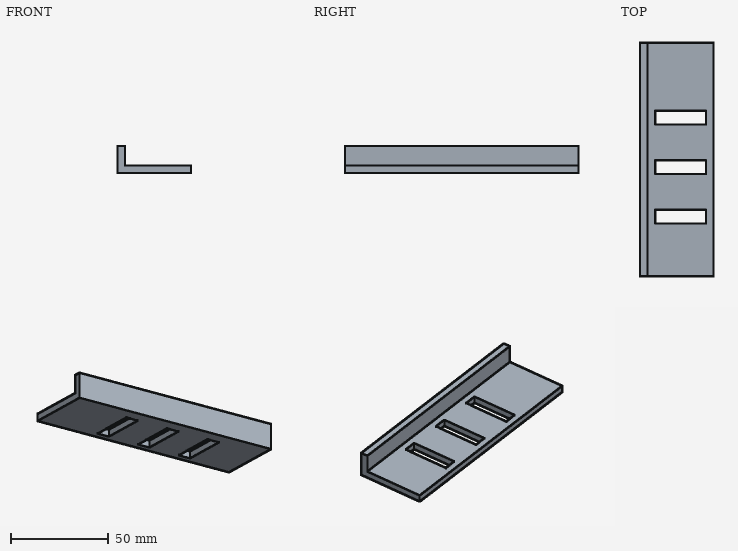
import cadquery as cq

width = 38.0
length = 120.0
height = 14.0
thickness = 4.0

slot_length = 26.0
slot_width = 7.0
slot_count = 3
slot_pitch = 25.4
slot_edge_margin = 4.0
slot_row_end_margin = 35.0
last_slot_y = length - slot_row_end_margin - slot_width / 2


def angle_body():
    """L-shaped section with the upright flange along the X = 0 side."""
    base = cq.Workplane("XY").box(width, length, thickness, centered=False)
    flange = cq.Workplane("XY").box(thickness, length, height, centered=False)
    return base.union(flange)


def slot(center_y):
    """Cutter for one slot, its long side running along X."""
    slot_end_x = width - slot_edge_margin
    corner = (slot_end_x - slot_length, center_y - slot_width / 2, 0)
    return cq.Workplane("XY").box(slot_length, slot_width, thickness, centered=False).translate(corner)


result = angle_body()
for index in range(slot_count):
    result = result.cut(slot(last_slot_y - index * slot_pitch))